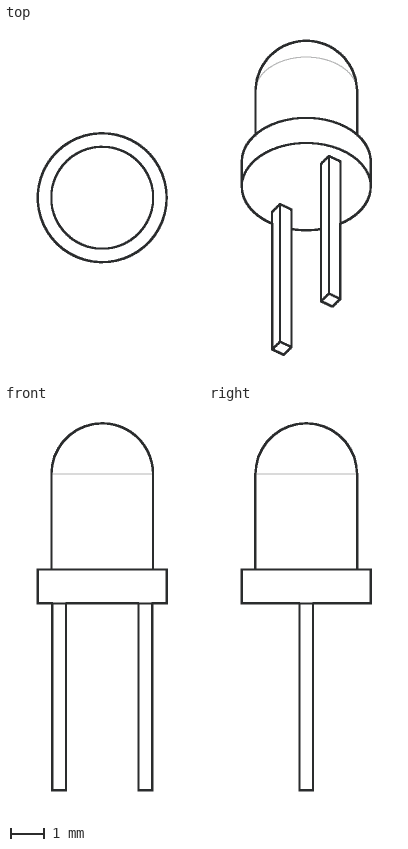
import cadquery as cq

total_height = 10.8
flange_diameter = 3.8
flange_height = 1.0
lens_diameter = 3.0
lead_length = 5.5
lead_width = 0.41
lead_spacing = 2.54

lens_radius = lens_diameter / 2
lens_top = total_height - lead_length
dome_base = lens_top - lens_radius


def make_flange():
    return cq.Workplane("XY").circle(flange_diameter / 2).extrude(flange_height)


def make_lens():
    """Cylinder closed by a hemispherical dome, revolved about Z."""
    arc_offset = lens_radius * 0.5**0.5
    return (
        cq.Workplane("XZ")
        .lineTo(lens_radius, 0)
        .lineTo(lens_radius, dome_base)
        .threePointArc((arc_offset, dome_base + arc_offset), (0, lens_top))
        .close()
        .revolve(360, (0, 0), (0, 1))
    )


def make_leads():
    """Two square leads hanging below the flange, spaced along X."""
    return (
        cq.Workplane("XY")
        .rarray(lead_spacing, 0.11, 2, 1)
        .rect(lead_width, lead_width)
        .extrude(-lead_length)
    )


result = make_flange().union(make_lens()).union(make_leads())